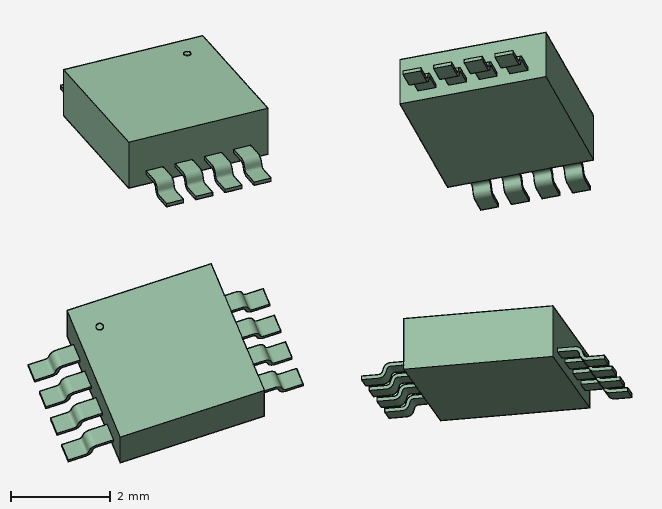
import cadquery as cq
import math

BODY_SIZE = 3.1
BODY_HEIGHT = 1.09

LEAD_SPAN = 5.05
LEADS_PER_SIDE = 4
LEAD_PITCH = 0.65
LEAD_WIDTH = 0.38
LEAD_THICKNESS = 0.08
LEAD_RISE = 0.235
FOOT_LENGTH = 0.36
BEND_RUN = 0.25
INNER_RADIUS = 0.08
OUTER_RADIUS = INNER_RADIUS + LEAD_THICKNESS

MARKER_DIAMETER = 0.15
MARKER_DEPTH = 0.02
MARKER_INSET = 0.49

FIRST_LEAD_Y = LEAD_PITCH * (LEADS_PER_SIDE - 1) / 2


def bend_angle():
    """Return the angle of the straight slope that touches both bend arcs."""
    radius_sum = INNER_RADIUS + OUTER_RADIUS
    centre_rise = LEAD_RISE - radius_sum
    centre_distance = math.hypot(BEND_RUN, centre_rise)
    return math.atan2(centre_rise, BEND_RUN) + math.asin(radius_sum / centre_distance)


def arc_point(centre, radius, angle):
    """Return the point on a circle, with the angle measured from +X."""
    return (centre[0] + radius * math.cos(angle), centre[1] + radius * math.sin(angle))


def make_left_lead():
    """Make one lead on the -X side, centred on Y = 0 and butted against the body."""
    tip_x = -LEAD_SPAN / 2
    body_x = -BODY_SIZE / 2
    foot_end_x = tip_x + FOOT_LENGTH
    shoulder_start_x = foot_end_x + BEND_RUN
    shoulder_top = LEAD_RISE + LEAD_THICKNESS

    slope_angle = bend_angle()
    right_angle = math.pi / 2
    lower_centre = (foot_end_x, OUTER_RADIUS)
    upper_centre = (shoulder_start_x, shoulder_top - OUTER_RADIUS)

    lower_end = slope_angle - right_angle
    lower_middle = slope_angle / 2 - right_angle
    upper_end = slope_angle + right_angle
    upper_middle = slope_angle / 2 + right_angle

    profile = (
        cq.Workplane("XZ")
        .moveTo(tip_x, 0)
        .lineTo(foot_end_x, 0)
        .threePointArc(
            arc_point(lower_centre, OUTER_RADIUS, lower_middle),
            arc_point(lower_centre, OUTER_RADIUS, lower_end),
        )
        .lineTo(*arc_point(upper_centre, INNER_RADIUS, upper_end))
        .threePointArc(
            arc_point(upper_centre, INNER_RADIUS, upper_middle),
            (shoulder_start_x, LEAD_RISE),
        )
        .lineTo(body_x, LEAD_RISE)
        .lineTo(body_x, shoulder_top)
        .lineTo(shoulder_start_x, shoulder_top)
        .threePointArc(
            arc_point(upper_centre, OUTER_RADIUS, upper_middle),
            arc_point(upper_centre, OUTER_RADIUS, upper_end),
        )
        .lineTo(*arc_point(lower_centre, INNER_RADIUS, lower_end))
        .threePointArc(
            arc_point(lower_centre, INNER_RADIUS, lower_middle),
            (foot_end_x, LEAD_THICKNESS),
        )
        .lineTo(tip_x, LEAD_THICKNESS)
        .close()
    )
    return profile.extrude(LEAD_WIDTH / 2, both=True)


def make_leads():
    """Make both rows of leads, one pair for each position along Y."""
    left_lead = make_left_lead()
    right_lead = left_lead.mirror("YZ")
    leads = []
    for position in range(LEADS_PER_SIDE):
        lead_y = FIRST_LEAD_Y - position * LEAD_PITCH
        leads.append(left_lead.translate((0, lead_y, 0)).val())
        leads.append(right_lead.translate((0, lead_y, 0)).val())
    return leads


def make_marker():
    """Make the pin 1 disc, in line with the first lead."""
    return (
        cq.Workplane("XY")
        .workplane(offset=BODY_HEIGHT - MARKER_DEPTH)
        .center(MARKER_INSET - BODY_SIZE / 2, FIRST_LEAD_Y)
        .circle(MARKER_DIAMETER / 2)
        .extrude(MARKER_DEPTH)
    )


def make_body(marker):
    """Make the plain block with a recess that fits the marker."""
    block = cq.Workplane("XY").box(BODY_SIZE, BODY_SIZE, BODY_HEIGHT, centered=(True, True, False))
    return block.cut(marker)


pin_marker = make_marker()
body = make_body(pin_marker)
leads = make_leads()

result = cq.Compound.makeCompound([body.val(), pin_marker.val(), *leads])